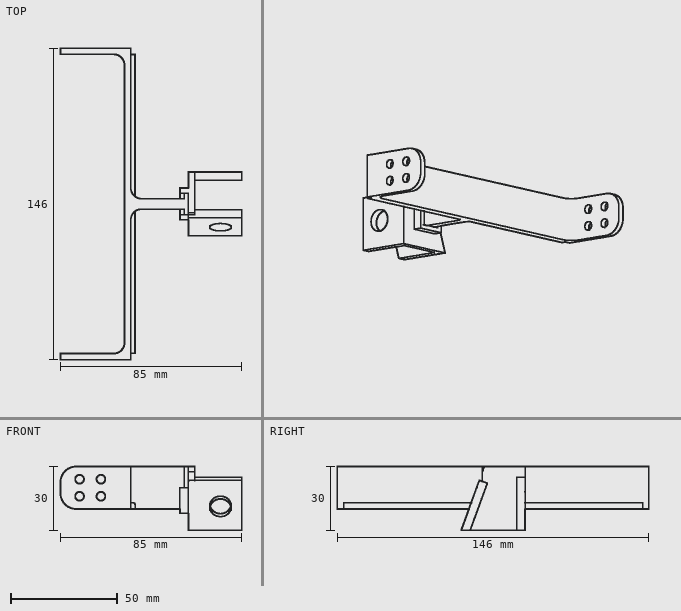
import cadquery as cq
import math

frame_height = 20.0
frame_width = 146.0
wall = 3.0
back_outer_x = 33.0
back_inner_x = back_outer_x - wall
inner_half_width = frame_width / 2 - wall
blend_radius = 5.0
arm_tip_radius = 7.5

arm_hole_diameter = 4.0
arm_hole_center_x = 14.0
arm_hole_pitch_x = 10.0
arm_hole_pitch_z = 8.0

ledge_depth = 2.0
ledge_height = 3.0
ledge_edge_radius = 1.0

stem_thickness = 5.0
head_width = 10.0
head_thickness = 2.0
clip_x = 60.0
stem_end_x = clip_x - head_thickness

clip_height = 30.0
clip_half_width = 15.0
clip_bottom_z = frame_height - clip_height
clip_length = 25.0
web_thickness = 3.0
web_edge_y = -head_width / 2

lug_thickness = 4.0
lug_height = 25.0
lug_tilt = 20.0
lug_hole_diameter = 10.2
lug_hole_x = clip_x + 15.0
upright_hole_distance = 13.0
tilted_hole_distance = 12.0

cradle_depth = 4.0
cradle_wall = 2.5
cradle_floor = 2.0
short_wall_height = 10.0


def block(x_range, y_range, z_range):
    """Box spanning the given (low, high) ranges."""
    size = [high - low for low, high in (x_range, y_range, z_range)]
    corner = (x_range[0], y_range[0], z_range[0])
    return cq.Workplane("XY").box(*size, centered=False).translate(corner)


def yz_prism(points, x_start, length):
    """Prism along +X with an outline given as (y, z) points."""
    return cq.Workplane("YZ", origin=(x_start, 0, 0)).polyline(points).close().extrude(length)


def make_ledge():
    """Foot rail along the outer back face, with its upper outer edge rounded."""
    rail = block(
        (back_outer_x, back_outer_x + ledge_depth),
        (-inner_half_width, inner_half_width),
        (0, ledge_height),
    )
    return rail.edges(">X and >Z").fillet(ledge_edge_radius)


def make_frame():
    """U bracket with rounded arm tips, T-headed stem, ledge and holes through both arms."""
    outer = block((0, back_outer_x), (-frame_width / 2, frame_width / 2), (0, frame_height))
    opening = block((0, back_inner_x), (-inner_half_width, inner_half_width), (0, frame_height))
    frame = outer.cut(opening.edges("|Z and >X").fillet(blend_radius))
    frame = frame.edges("|Y and <X").fillet(arm_tip_radius)

    stem = block(
        (back_outer_x, stem_end_x),
        (-stem_thickness / 2, stem_thickness / 2),
        (0, frame_height),
    )
    root_edges = cq.selectors.BoxSelector(
        (back_inner_x, -stem_thickness, -wall),
        (back_outer_x + wall, stem_thickness, frame_height + wall),
    )
    frame = frame.union(stem).edges("|Z").edges(root_edges).fillet(blend_radius)

    head = block((stem_end_x, clip_x), (-head_width / 2, head_width / 2), (0, frame_height))
    frame = frame.union(head).union(make_ledge())

    arm_holes = (
        cq.Workplane("XZ", origin=(arm_hole_center_x, frame_width / 2, frame_height / 2))
        .rarray(arm_hole_pitch_x, arm_hole_pitch_z, 2, 2)
        .circle(arm_hole_diameter / 2)
        .extrude(frame_width)
    )
    return frame.cut(arm_holes)


slope_y = math.sin(math.radians(lug_tilt))
slope_z = math.cos(math.radians(lug_tilt))


def on_lug(along, inward):
    """(y, z) point at a distance up the outer face of the tilted lug and into its thickness."""
    y = -clip_half_width + along * slope_y + inward * slope_z
    z = clip_bottom_z + along * slope_z - inward * slope_y
    return y, z


def outer_face_y(z):
    """Y of the tilted lug's outer face, extended to height z."""
    return -clip_half_width + (z - clip_bottom_z) * slope_y / slope_z


def make_web():
    """Cross plate between the lugs.

    Its free edge follows the outer plane of the tilted lug at the top, drops straight down
    to the end face of that lug, and then follows the lug's outer face to the foot.
    """
    bevel_foot_z = clip_bottom_z + (web_edge_y + clip_half_width) * slope_z / slope_y
    lug_top_y = on_lug(lug_height, 0)[0]
    meeting_depth = (web_edge_y - lug_top_y) / slope_z
    return yz_prism(
        [
            (clip_half_width, clip_bottom_z),
            (clip_half_width, frame_height),
            (outer_face_y(frame_height), frame_height),
            (web_edge_y, bevel_foot_z),
            on_lug(lug_height, meeting_depth),
            on_lug(lug_height, 0),
            (-clip_half_width, clip_bottom_z),
        ],
        clip_x,
        web_thickness,
    )


def make_cradle():
    """Floor and two side walls around the lower end of the stem head."""
    x_range = (clip_x - cradle_depth, clip_x)
    inner = head_width / 2
    outer = inner + cradle_wall
    floor = block(x_range, (-outer, outer), (-cradle_floor, 0))
    tall_wall = block(x_range, (inner, outer), (0, frame_height))
    short_wall = block(x_range, (-outer, -inner), (0, short_wall_height))
    return floor.union(tall_wall).union(short_wall)


def make_clip():
    """Web, upright lug, tilted lug and cradle, with a hole square to each lug."""
    upright_lug = block(
        (clip_x, clip_x + clip_length),
        (clip_half_width - lug_thickness, clip_half_width),
        (clip_bottom_z, clip_bottom_z + lug_height),
    )
    foot_inner_y = -clip_half_width + lug_thickness / slope_z
    tilted_lug = yz_prism(
        [
            on_lug(0, 0),
            on_lug(lug_height, 0),
            on_lug(lug_height, lug_thickness),
            (foot_inner_y, clip_bottom_z),
        ],
        clip_x,
        clip_length,
    )
    hole_y, hole_z = on_lug(tilted_hole_distance, 0)
    upright_hole = (
        cq.Workplane("XZ", origin=(lug_hole_x, clip_half_width, clip_bottom_z + upright_hole_distance))
        .circle(lug_hole_diameter / 2)
        .extrude(lug_thickness)
    )
    tilted_hole_plane = cq.Plane(
        origin=(lug_hole_x, hole_y, hole_z), xDir=(1, 0, 0), normal=(0, slope_z, -slope_y)
    )
    tilted_hole = (
        cq.Workplane(tilted_hole_plane)
        .circle(lug_hole_diameter / 2)
        .extrude(lug_thickness)
    )
    return (
        make_web()
        .union(upright_lug.cut(upright_hole))
        .union(tilted_lug.cut(tilted_hole))
        .union(make_cradle())
    )


frame = make_frame()
clip = make_clip()
result = cq.Compound.makeCompound([frame.val(), clip.val()])